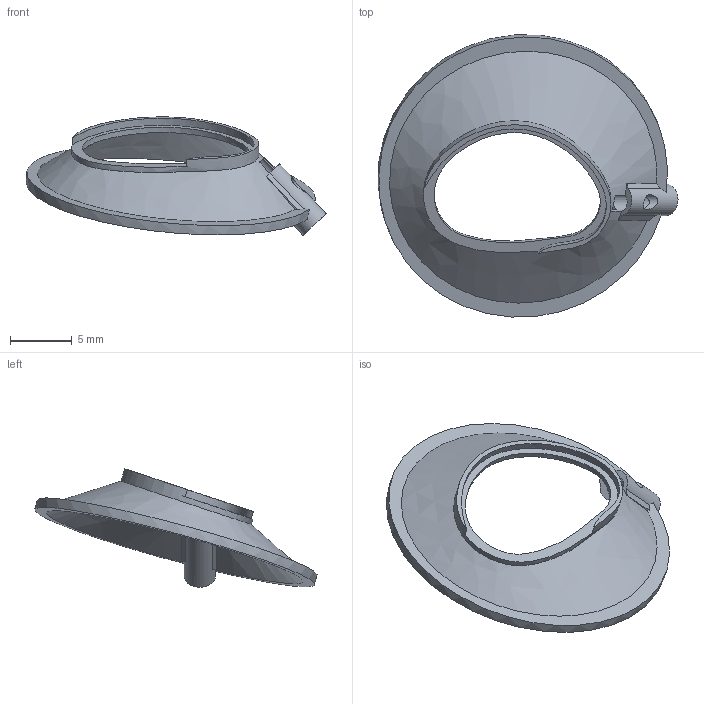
import cadquery as cq
import math
FLANGE_RADIUS = 11.72
FLANGE_THICKNESS = 0.78
FLANGE_CENTER = (-0.37, -0.11, -0.81)
FLANGE_RISE_X = -0.097
FLANGE_RISE_Y = 0.269

FOOT_START_ANGLE = 5
CONE_FOOT_RADII = (10.85, 10.53)
CAVITY_FOOT_RADII = (11.05, 10.75)

RING_TILT = 18.4
SEAT_ORIGIN = (0, 0, 2.76)
RING_BASE_HEIGHT = 0.45
RIM_HEIGHT = 0.6
RING_WIDTH = 0.86
OPENING_POINTS = [
    (5.66, -1.2),
    (4.76, 0.41),
    (2.63, 2.47),
    (-0.8, 3.67),
    (-4.5, 2.72),
    (-6.89, 0.56),
    (-7.57, -1.6),
    (-6.21, -4.59),
    (-4.61, -5.31),
    (-1.4, -5.72),
    (1.48, -5.47),
    (4.63, -4.6),
    (5.83, -2.7),
]
RECESS_POINTS = [
    (0.8, -6.45),
    (2.05, -5.83),
    (3.95, -5.48),
    (5.68, -4.42),
    (6.35, -2.5),
    (5.13, 0.75),
    (2.9, 2.88),
    (-0.8, 4.17),
    (-4.75, 3.13),
    (-7.35, 0.78),
    (-8.7, -1.6),
]
RECESS_CORNER = (-9.0, -7.5)

TUBE_DIAMETER = 2.54
BORE_DIAMETER = 1.53
TUBE_LENGTH = 5.5
TUBE_SLOPE = 47.2
TUBE_LOW_END = (11.21, -1.94, -3.94)
BORE_SIDE_SHIFT = 0.18
BORE_OVERRUN = 1.22
CRADLE_POINTS = [
    (-1.5, -0.25),
    (-1.15, -0.5),
    (1.0, -0.8),
    (1.57, -0.6),
    (1.68, -0.2),
    (1.25, 0.2),
    (-0.92, 0.87),
    (-1.38, 0.68),
]
PORT_DIAMETER = 1.2
PORT_MOUTH = (9.95, -2.12, -0.72)
PORT_DEPTH = 1.8

TRIM_HEIGHT = 20

flange_plane = cq.Plane(
    origin=FLANGE_CENTER,
    xDir=(1, 0, FLANGE_RISE_X),
    normal=(-FLANGE_RISE_X, -FLANGE_RISE_Y, 1),
)
tilt = math.radians(RING_TILT)
seat_plane = cq.Plane(
    origin=SEAT_ORIGIN,
    xDir=(1, 0, 0),
    normal=(0, -math.sin(tilt), math.cos(tilt)),
)
slope = math.radians(TUBE_SLOPE)
tube_plane = cq.Plane(
    origin=TUBE_LOW_END,
    xDir=(0, -1, 0),
    normal=(-math.cos(slope), 0, math.sin(slope)),
)


def shifted(plane, distance):
    """Copy of a plane moved along its normal."""
    return cq.Plane(
        origin=plane.toWorldCoords((0, 0, distance)),
        xDir=plane.xDir,
        normal=plane.zDir,
    )


def offset_points(points, distance):
    """Points of a closed counter-clockwise curve moved outward along its normals."""
    moved = []
    for i, (x, y) in enumerate(points):
        before = points[i - 1]
        after = points[(i + 1) % len(points)]
        dx = after[0] - before[0]
        dy = after[1] - before[1]
        length = math.hypot(dx, dy)
        moved.append((x + distance * dy / length, y - distance * dx / length))
    return moved


outer_points = offset_points(OPENING_POINTS, RING_WIDTH)
ring_bottom_plane = shifted(seat_plane, -RING_BASE_HEIGHT)
flange_bottom_plane = shifted(flange_plane, -FLANGE_THICKNESS)


def oval(plane, points):
    """Smooth closed curve through the points."""
    return cq.Workplane(plane).spline(points, periodic=True).close()


def shell_loft(foot_plane, foot_radii, top_points):
    """Ruled body from an ellipse up to an oval in the bottom plane of the ring."""
    foot = cq.Workplane(foot_plane).ellipse(*foot_radii, rotation_angle=FOOT_START_ANGLE)
    top = oval(ring_bottom_plane, top_points)
    return cq.Workplane(cq.Solid.makeLoft([foot.wires().val(), top.wires().val()], True))


def make_ring():
    """Oval ring whose upper part is hollowed out, leaving a seat and a tapering rim."""
    ring = oval(ring_bottom_plane, outer_points).extrude(RING_BASE_HEIGHT + RIM_HEIGHT)
    recess = (
        cq.Workplane(seat_plane)
        .moveTo(*RECESS_POINTS[0])
        .spline(RECESS_POINTS[1:], includeCurrent=True)
        .lineTo(*RECESS_CORNER)
        .close()
        .extrude(RIM_HEIGHT)
    )
    return ring.cut(recess)


def make_tube():
    return cq.Workplane(tube_plane).circle(TUBE_DIAMETER / 2).extrude(TUBE_LENGTH)


def make_cradle():
    """Tapered strips that join both sides of the tube to the shell, ending at the flange bottom."""
    cradle = cq.Workplane(tube_plane).polyline(CRADLE_POINTS).close().extrude(TUBE_LENGTH)
    above_flange_bottom = (
        cq.Workplane(flange_bottom_plane).circle(FLANGE_RADIUS).extrude(TRIM_HEIGHT)
    )
    return cradle.intersect(above_flange_bottom)


def make_bore():
    """Bore along the tube, running on past its upper end as a groove in the shell."""
    return (
        cq.Workplane(tube_plane)
        .center(BORE_SIDE_SHIFT, 0)
        .circle(BORE_DIAMETER / 2)
        .extrude(TUBE_LENGTH + BORE_OVERRUN)
    )


def make_port():
    """Hole along X from outside the tube wall into the bore."""
    mouth_plane = cq.Plane(origin=PORT_MOUTH, xDir=(0, 1, 0), normal=(1, 0, 0))
    inner_plane = shifted(mouth_plane, -PORT_DEPTH)
    return cq.Workplane(inner_plane).circle(PORT_DIAMETER / 2).extrude(2 * PORT_DEPTH)


flange = cq.Workplane(flange_bottom_plane).circle(FLANGE_RADIUS).extrude(FLANGE_THICKNESS)
cone = shell_loft(flange_plane, CONE_FOOT_RADII, outer_points)
cavity = shell_loft(flange_bottom_plane, CAVITY_FOOT_RADII, OPENING_POINTS)
opening = oval(ring_bottom_plane, OPENING_POINTS).extrude(RING_BASE_HEIGHT + RIM_HEIGHT)

body = flange.union(cone).union(make_ring()).cut(cavity).cut(opening)
body = body.union(make_cradle()).union(make_tube())
result = body.cut(make_bore()).cut(make_port())